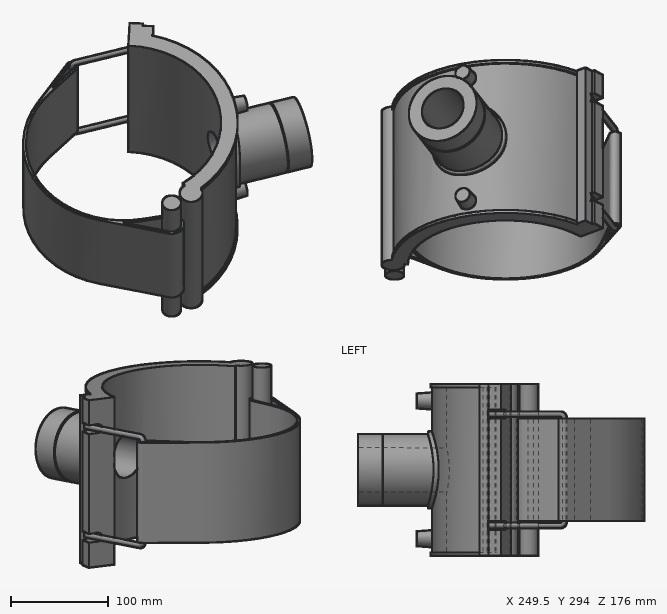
import cadquery as cq
import math


length = 176.0
clamp_radius = 100.0
body_radius = 115.2
collar_radius = 117.0
collar_width = 3.5
end_angle = 20.0
knuckle_radius = 11.8
knuckle_angle = 19.6

lug_reach = 126.7
lug_height = 24.7
step_reach = 129.6
step_height = 13.8

branch_end = 191.0
branch_diameter = 73.8
groove_diameter = 72.5
groove_width = 1.0
groove_y = 165.5
bore_diameter = 45.3
bead_diameter = 79.5
bead_radius = 119.5
bead_rounding = 1.8

stud_z = 70.5
stud_end = 130.8
stud_tip_diameter = 15.5
stud_base_diameter = 18.0

strap_width = 105.2
strap_thickness = 3.0
strap_radius = clamp_radius + strap_thickness
pin_radius = 9.7
pin_center = (115.0, 16.0)
pin_loop_radius = pin_radius + strap_thickness

wire_diameter = 6.0
wire_x = -112.0
wire_z = 57.0
wire_end_y = 57.0
wire_low_y = -20.3
wire_bend = 4.0
wire_slot_width = 9.0
wire_slot_top_y = 57.5
bail_loop_radius = wire_diameter / 2 + strap_thickness
bail_loop_center = (wire_x, wire_low_y)


def polar(radius, angle, center=(0, 0)):
    a = math.radians(angle)
    return (center[0] + radius * math.cos(a), center[1] + radius * math.sin(a))


def extrude_centered(sketch, height):
    return sketch.extrude(height / 2, both=True)


def ring_sector(inner, outer, start, end, height, center=(0, 0)):
    """Part of a ring between two angles, centred on Z = 0."""
    middle = (start + end) / 2
    sketch = (
        cq.Workplane("XY")
        .moveTo(*polar(inner, start, center))
        .lineTo(*polar(outer, start, center))
        .threePointArc(polar(outer, middle, center), polar(outer, end, center))
        .lineTo(*polar(inner, end, center))
        .threePointArc(polar(inner, middle, center), polar(inner, start, center))
        .close()
    )
    return extrude_centered(sketch, height)


def y_cylinder(diameter, start, end, x=0.0, z=0.0):
    base = cq.Workplane("XZ", origin=(x, start, z))
    return base.circle(diameter / 2).extrude(start - end)


def saddle():
    sweep = (end_angle, 180 - end_angle)
    shell = ring_sector(clamp_radius, body_radius, *sweep, length)
    collar = ring_sector(clamp_radius, collar_radius, *sweep, collar_width)
    for side in (-1, 1):
        shell = shell.union(collar.translate((0, 0, side * (length - collar_width) / 2)))
    knuckle_center = polar(body_radius, knuckle_angle)
    knuckle = cq.Workplane("XY").center(*knuckle_center).circle(knuckle_radius)
    return shell.union(extrude_centered(knuckle, length)).union(lug())


def lug():
    """Stepped block on the left end of the saddle, notched for the wire bail."""
    profile = cq.Workplane("XY").polyline(
        [
            (-clamp_radius, 0),
            (-step_reach, 0),
            (-step_reach, step_height),
            (-lug_reach, step_height),
            (-lug_reach, lug_height),
            (-body_radius, lug_height),
        ]
    ).close()
    block = extrude_centered(profile, length).rotate((0, 0, 0), (0, 0, 1), -end_angle)
    slot_reach = step_reach + wire_x
    for side in (-1, 1):
        round_end = y_cylinder(wire_slot_width, 0, wire_slot_top_y, wire_x, side * wire_z)
        opening = cq.Workplane("XY").box(
            slot_reach, wire_slot_top_y, wire_slot_width, centered=(False, False, True)
        ).translate((-step_reach, 0, side * wire_z))
        block = block.cut(round_end).cut(opening)
    return block


def branch():
    mid_radius = (clamp_radius + body_radius) / 2
    pipe = y_cylinder(branch_diameter, 0, branch_end)
    groove_start = groove_y - groove_width / 2
    groove_stop = groove_y + groove_width / 2
    groove = y_cylinder(bead_diameter, groove_start, groove_stop)
    pipe = pipe.cut(groove.cut(y_cylinder(groove_diameter, groove_start, groove_stop)))
    bead = y_cylinder(bead_diameter, 0, branch_end)
    bead = bead.intersect(extrude_centered(cq.Workplane("XY").circle(bead_radius), length))
    bead = bead.faces(">Y").edges().fillet(bead_rounding)
    hollow = extrude_centered(cq.Workplane("XY").circle(mid_radius), length)
    return pipe.union(bead).cut(hollow)


def stud(z):
    start = (clamp_radius + body_radius) / 2
    base = cq.Workplane("XZ", origin=(0, body_radius, z)).circle(stud_base_diameter / 2)
    cone = base.workplane(offset=body_radius - stud_end).circle(stud_tip_diameter / 2).loft()
    return cone.union(y_cylinder(stud_base_diameter, start, body_radius, 0, z))


def strap_arm(contact_angle, band_radius, loop_point, inward):
    """Straight strip from its tangent point on the band to its tangent point on a loop."""
    dx, dy = polar(strap_thickness * inward, contact_angle)
    start = polar(band_radius, contact_angle)
    corners = [
        start,
        loop_point,
        (loop_point[0] + dx, loop_point[1] + dy),
        (start[0] + dx, start[1] + dy),
    ]
    return extrude_centered(cq.Workplane("XY").polyline(corners).close(), strap_width)


def strap_end(center, loop_radius, turn):
    """Loop and its two arms; also returns the angle where the inner arm meets the band."""
    distance = math.hypot(*center)
    direction = math.degrees(math.atan2(center[1], center[0])) % 360
    outer_tilt = math.degrees(math.acos((strap_radius - loop_radius) / distance))
    inner_tilt = math.degrees(math.acos((clamp_radius + loop_radius) / distance))
    outer_angle = direction + turn * outer_tilt
    inner_angle = direction + turn * inner_tilt
    outer_point = polar(loop_radius, outer_angle, center)
    inner_point = polar(-loop_radius, inner_angle, center)
    loop = ring_sector(
        loop_radius - strap_thickness,
        loop_radius,
        outer_angle,
        inner_angle - turn * 180,
        strap_width,
        center,
    )
    loop = loop.union(strap_arm(outer_angle, strap_radius, outer_point, -1))
    return loop.union(strap_arm(inner_angle, clamp_radius, inner_point, 1)), inner_angle


def strap():
    left_end, left_angle = strap_end(bail_loop_center, bail_loop_radius, 1)
    right_end, right_angle = strap_end(pin_center, pin_loop_radius, -1)
    band = ring_sector(clamp_radius, strap_radius, left_angle, right_angle + 360, strap_width)
    pin = extrude_centered(cq.Workplane("XY").center(*pin_center).circle(pin_radius), length)
    return band.union(left_end).union(right_end).union(pin)


def bail():
    """U-shaped round wire hooked into the lug and passing through the small strap loop."""
    bend_mid = wire_bend * (1 - math.sqrt(0.5))
    path = (
        cq.Workplane("YZ", origin=(wire_x, 0, 0))
        .moveTo(wire_end_y, wire_z)
        .lineTo(wire_low_y + wire_bend, wire_z)
        .threePointArc(
            (wire_low_y + bend_mid, wire_z - bend_mid), (wire_low_y, wire_z - wire_bend)
        )
        .lineTo(wire_low_y, wire_bend - wire_z)
        .threePointArc(
            (wire_low_y + bend_mid, bend_mid - wire_z), (wire_low_y + wire_bend, -wire_z)
        )
        .lineTo(wire_end_y, -wire_z)
    )
    start = cq.Workplane("XZ", origin=(wire_x, wire_end_y, wire_z))
    return start.circle(wire_diameter / 2).sweep(path)


result = saddle().union(branch())
for stud_side in (-1, 1):
    result = result.union(stud(stud_side * stud_z))
result = result.cut(y_cylinder(bore_diameter, 0, branch_end))
result = result.union(strap()).union(bail())